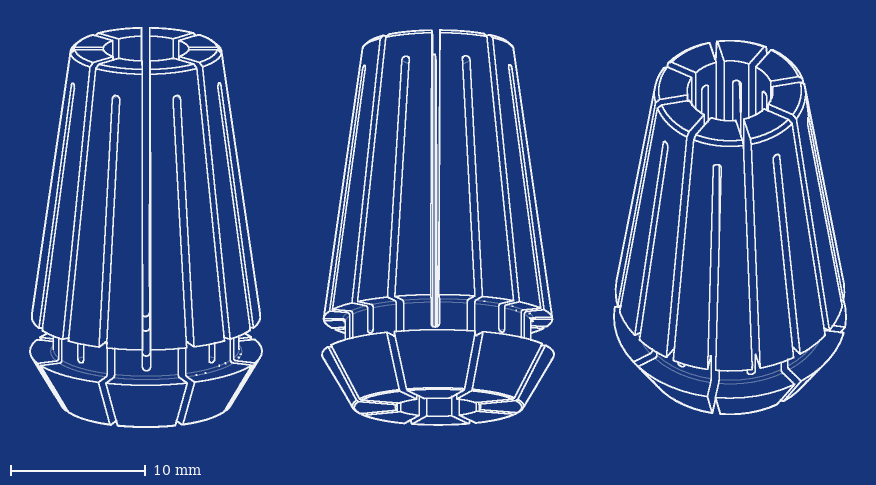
import cadquery as cq
import math

total_height = 27.5
bore_radius = 6.35 / 2

flange_radius = 8.625
flange_height = 4.0
flange_half_angle = math.radians(30)
bottom_chamfer = 0.1

groove_radius = 6.9
groove_top = 6.7
groove_fillet = 0.2

taper_radius = 8.5
taper_half_angle = math.radians(8)
top_chamfer = 0.28

slit_width = 0.6
slits_per_set = 8
slit_pitch = 360 / slits_per_set
lower_slit_top = 25.5
upper_slit_bottom = 4.6

bottom_radius = flange_radius - flange_height * math.tan(flange_half_angle)
top_radius = taper_radius - (total_height - groove_top) * math.tan(taper_half_angle)


def collet_body():
    """Turned body with a through bore, filleted groove corners and chamfered ends."""
    body = (
        cq.Workplane("XZ")
        .moveTo(bore_radius, 0)
        .lineTo(bottom_radius, 0)
        .lineTo(flange_radius, flange_height)
        .lineTo(groove_radius, flange_height)
        .lineTo(groove_radius, groove_top)
        .lineTo(taper_radius, groove_top)
        .lineTo(top_radius, total_height)
        .lineTo(bore_radius, total_height)
        .close()
        .revolve(360, (0, 0, 0), (0, 1, 0))
    )
    groove_wall_center = (groove_radius, 0, (flange_height + groove_top) / 2)
    body = body.faces(cq.NearestToPointSelector(groove_wall_center)).edges("%CIRCLE").fillet(groove_fillet)
    body = body.faces(">Z").edges(cq.selectors.RadiusNthSelector(-1)).chamfer(top_chamfer)
    return body.faces("<Z").edges(cq.selectors.RadiusNthSelector(-1)).chamfer(bottom_chamfer)


def slit(round_end, open_end, angle):
    """Radial slit cutter from the axis outwards, with a half-round closed end."""
    half_width = slit_width / 2
    arc_center = round_end + math.copysign(half_width, open_end - round_end)
    return (
        cq.Workplane("YZ")
        .moveTo(-half_width, open_end)
        .lineTo(-half_width, arc_center)
        .threePointArc((0, round_end), (half_width, arc_center))
        .lineTo(half_width, open_end)
        .close()
        .extrude(flange_radius + slit_width)
        .rotate((0, 0, 0), (0, 0, 1), angle)
    )


result = collet_body()
for index in range(slits_per_set):
    lower_angle = index * slit_pitch
    result = result.cut(slit(lower_slit_top, 0, lower_angle))
    result = result.cut(slit(upper_slit_bottom, total_height, lower_angle + slit_pitch / 2))